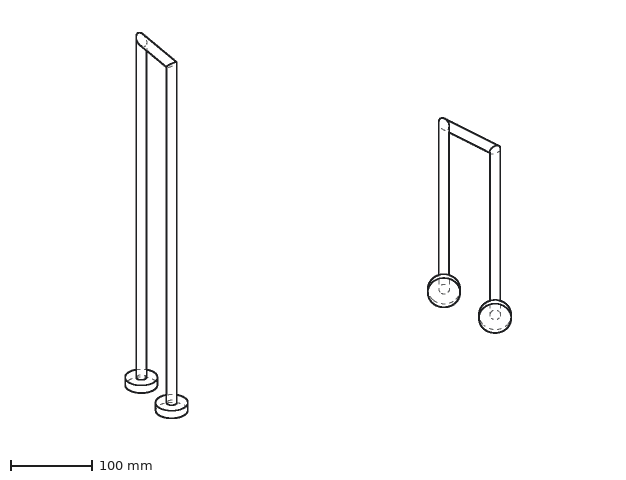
import cadquery as cq

total_height = 500.5
leg_spacing = 72.0
rod_diameter = 13.0
foot_diameter = 40.0
foot_height = 11.0

rod_radius = rod_diameter / 2
half_spacing = leg_spacing / 2
bar_axis_height = total_height - rod_radius
leg_positions = (-half_spacing, half_spacing)


def make_foot(x):
    """Plain round foot standing on the ground plane."""
    return cq.Workplane("XY").center(x, 0).circle(foot_diameter / 2).extrude(foot_height)


def crossbar_region():
    """Prism between the two 45 degree mitre planes; it narrows downward from the top corners."""
    outer_half = half_spacing + rod_radius
    inner_half = half_spacing - rod_radius
    return (
        cq.Workplane("XZ")
        .polyline([
            (-outer_half, total_height),
            (outer_half, total_height),
            (inner_half, total_height - rod_diameter),
            (-inner_half, total_height - rod_diameter),
        ])
        .close()
        .extrude(rod_radius, both=True)
    )


def make_leg(x):
    """Upright rod on top of a foot, mitred where it meets the crossbar."""
    rod = (
        cq.Workplane("XY", origin=(x, 0, foot_height))
        .circle(rod_radius)
        .extrude(total_height - foot_height)
    )
    return rod.cut(crossbar_region())


def make_crossbar():
    """Horizontal rod joining the legs, mitred at both ends."""
    rod = (
        cq.Workplane("YZ", origin=(0, 0, bar_axis_height))
        .circle(rod_radius)
        .extrude(half_spacing + rod_radius, both=True)
    )
    return rod.intersect(crossbar_region())


feet = [make_foot(x).val() for x in leg_positions]
legs = [make_leg(x).val() for x in leg_positions]
crossbar = make_crossbar()

result = cq.Compound.makeCompound([*feet, *legs, crossbar.val()])